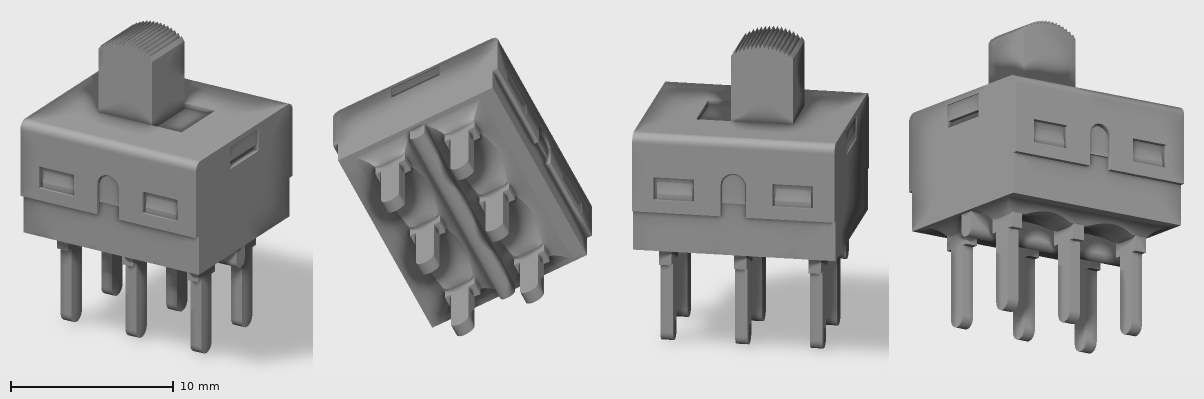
import cadquery as cq
import math


top_z = 19.3
housing_bottom_z = 6.62
cover_bottom_z = 9.2
cover_top_z = 14.2

cover_length = 12.7
cover_width = 11.43
sheet = 0.35
bend_radius = 0.56
cover_inner_z = cover_top_z - sheet
opening_length = 6.06
opening_width = 3.98
latch_bottom_z = 10.02
window_pitch = 7.49
window_width = 2.55
window_height = 1.47
slot_radius = 0.8
slot_top_z = 12.0

notch_width = 3.34
notch_bottom_z = 12.37
tab_bottom_z = 12.83
notch_depth = 0.37
tab_setback = 0.08

housing_length = cover_length
housing_width = cover_width - 2 * sheet
catch_pitch = 7.43
catch_width = 2.24
catch_edge_z = 10.38
catch_top_z = 11.1
boss_radius = 0.73
boss_top_z = 11.85
relief = 0.17
rib_length = 12.15
rib_width = 1.0
rib_bottom_z = 5.11
rib_radius = 0.46

knob_length = 3.88
knob_width = 3.82
knob_x = -(opening_length - knob_length) / 2
shoulder_z = 18.41
teeth_per_side = 7
tooth_pitch = 0.25
valley_setback = 0.1
peak_arc_radius = 2.9
valley_arc_radius = 3.47
valley_top_z = 18.95

pin_pitch = 4.69
row_pitch = 4.8
pin_thickness = 0.8
pin_width = 1.24
pin_shoulder_width = 2.07
pin_positions = [-pin_pitch, 0, pin_pitch]

potting_depth = 0.65
potting_edge_depth = 0.55
potting_flat_width = 1.4
potting_half_width = 1.9
potting_end_run = 0.93
potting_sag_depth = 0.21
meniscus_radius = 2.4 / 2


def block(length, width, bottom_z, upper_z, x=0.0, y=0.0):
    """Upright box centred on (x, y) between two heights."""
    return cq.Workplane("XY").box(length, width, upper_z - bottom_z, centered=(True, True, False)).translate(
        (x, y, bottom_z)
    )


def arch(radius, bottom_z, upper_z, depth):
    """Round-topped block, centred on the origin in X and Y, with its arch facing along Y."""
    spring_z = upper_z - radius
    return (
        cq.Workplane("XZ")
        .moveTo(-radius, bottom_z)
        .lineTo(-radius, spring_z)
        .threePointArc((0, upper_z), (radius, spring_z))
        .lineTo(radius, bottom_z)
        .close()
        .extrude(depth / 2, both=True)
    )


def end_blocks(bottom_z, outer_x):
    """Pair of blocks from outer_x in to the notch floor at both ends, reaching up to the cover."""
    inner_x = housing_length / 2 - notch_depth
    length = outer_x - inner_x
    center_x = (outer_x + inner_x) / 2
    blocks = block(length, notch_width, bottom_z, cover_inner_z, x=-center_x)
    return blocks.union(block(length, notch_width, bottom_z, cover_inner_z, x=center_x))


def make_cover():
    """Sheet channel with a knob opening, latch windows, arched slots and end tabs."""
    cover = block(cover_length, cover_width, cover_bottom_z, cover_top_z)
    cover = cover.edges("|X and >Z").fillet(bend_radius)
    cover = cover.cut(block(cover_length, housing_width, cover_bottom_z, cover_inner_z))
    cover = cover.cut(block(opening_length, opening_width, cover_inner_z, cover_top_z))
    for x in (-window_pitch / 2, window_pitch / 2):
        cover = cover.cut(block(window_width, cover_width, latch_bottom_z, latch_bottom_z + window_height, x=x))
    cover = cover.cut(arch(slot_radius, cover_bottom_z, slot_top_z, cover_width))
    return cover.union(end_blocks(tab_bottom_z, cover_length / 2 - tab_setback))


def make_catches(x):
    """Wedge catches on both long sides of the housing, sloped on top, as one bar through it."""
    side_y = housing_width / 2
    outer_y = side_y + relief
    return (
        cq.Workplane("YZ")
        .polyline(
            [
                (-outer_y, latch_bottom_z),
                (outer_y, latch_bottom_z),
                (outer_y, catch_edge_z),
                (side_y, catch_top_z),
                (-side_y, catch_top_z),
                (-outer_y, catch_edge_z),
            ]
        )
        .close()
        .extrude(catch_width / 2, both=True)
        .translate((x, 0, 0))
    )


def make_housing():
    """Moulded block with latch catches, arched bosses, end notches and a rib underneath."""
    housing = block(housing_length, housing_width, housing_bottom_z, cover_inner_z)
    housing = housing.cut(end_blocks(notch_bottom_z, housing_length / 2))
    for x in (-catch_pitch / 2, catch_pitch / 2):
        housing = housing.union(make_catches(x))
    housing = housing.union(arch(boss_radius, latch_bottom_z, boss_top_z, housing_width + 2 * relief))
    rib = block(rib_length, rib_width, rib_bottom_z, housing_bottom_z)
    rib = rib.edges("|X and <Z").fillet(rib_radius)
    return housing.union(rib)


def arc_height(crown_z, radius, x):
    """Height at x of an arc that has its crown at x = 0."""
    return crown_z - radius + math.sqrt(radius**2 - x**2)


def make_knob():
    """Knob with a crowned grip of saw teeth, mirrored about its centre tooth."""
    right_teeth = []
    for i in range(1, teeth_per_side + 1):
        peak_x = i * tooth_pitch
        valley_x = peak_x - valley_setback
        right_teeth.append((valley_x, arc_height(valley_top_z, valley_arc_radius, valley_x)))
        right_teeth.append((peak_x, arc_height(top_z, peak_arc_radius, peak_x)))
    right_side = right_teeth + [(knob_length / 2, shoulder_z), (knob_length / 2, cover_inner_z)]
    left_side = [(-x, z) for x, z in reversed(right_side)]
    return (
        cq.Workplane("XZ")
        .polyline(left_side + [(0, top_z)] + right_side)
        .close()
        .extrude(knob_width / 2, both=True)
        .translate((knob_x, 0, 0))
    )


def make_pin(x):
    """Flat terminal with a wide shoulder and a round tip."""
    tip_radius = pin_width / 2
    blade = block(pin_thickness, pin_width, 0, housing_bottom_z, x=x)
    blade = blade.intersect(
        cq.Workplane("YZ")
        .moveTo(-tip_radius, housing_bottom_z)
        .lineTo(-tip_radius, tip_radius)
        .threePointArc((0, 0), (tip_radius, tip_radius))
        .lineTo(tip_radius, housing_bottom_z)
        .close()
        .extrude(cover_length / 2, both=True)
    )
    return blade.union(block(pin_thickness, pin_shoulder_width, rib_bottom_z, housing_bottom_z, x=x))


def make_potting():
    """Potting ridge: concave flanks across the row, sagging between its terminals."""
    edge_z = housing_bottom_z - potting_edge_depth
    low_z = housing_bottom_z - potting_depth
    sag_z = housing_bottom_z - potting_sag_depth
    outer_face_x = pin_pitch + pin_thickness / 2
    end_x = outer_face_x + potting_end_run
    flat_y = potting_flat_width / 2
    shoulder_y = pin_shoulder_width / 2

    across = (
        cq.Workplane("YZ")
        .moveTo(-potting_half_width, housing_bottom_z)
        .radiusArc((-shoulder_y, edge_z), meniscus_radius)
        .lineTo(-flat_y, low_z)
        .lineTo(flat_y, low_z)
        .lineTo(shoulder_y, edge_z)
        .radiusArc((potting_half_width, housing_bottom_z), meniscus_radius)
        .close()
        .extrude(end_x, both=True)
    )

    along = cq.Workplane("XZ").moveTo(-end_x, housing_bottom_z)
    along = along.radiusArc((-outer_face_x, low_z), meniscus_radius)
    for x in pin_positions[:-1]:
        along = along.lineTo(x + pin_thickness / 2, low_z)
        along = along.threePointArc((x + pin_pitch / 2, sag_z), (x + pin_pitch - pin_thickness / 2, low_z))
    along = along.lineTo(outer_face_x, low_z)
    along = along.radiusArc((end_x, housing_bottom_z), meniscus_radius)
    along = along.close().extrude(potting_half_width, both=True)
    return across.intersect(along)


def make_terminal_row(y):
    """Three terminals held together by their potting."""
    row = make_potting()
    for x in pin_positions:
        row = row.union(make_pin(x))
    return row.translate((0, y, 0))


cover = make_cover()
housing = make_housing()
knob = make_knob()
terminal_rows = [make_terminal_row(y) for y in (-row_pitch / 2, row_pitch / 2)]

result = cq.Compound.makeCompound(
    [cover.val(), housing.val(), knob.val(), *[row.val() for row in terminal_rows]]
)